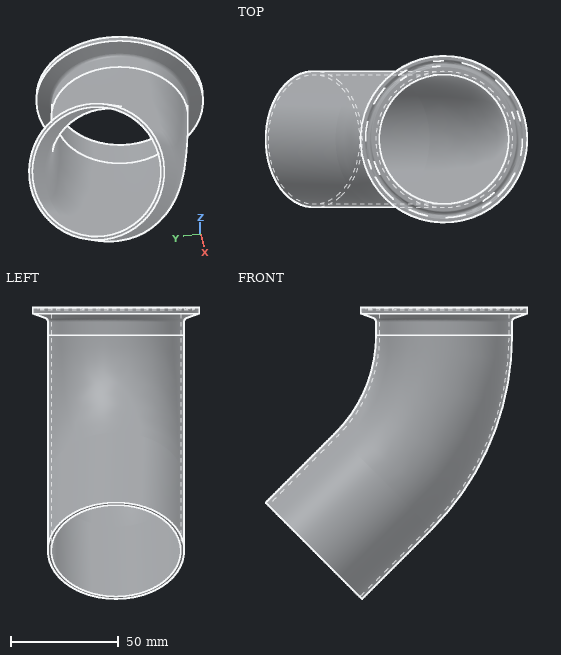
import cadquery as cq
import math

tube_radius = 31.7
bore_radius = 30.1

flange_radius = 38.7
rim_thickness = 2.8
ferrule_length = 13.0
cone_angle = 20.0
neck_fillet = 1.5
lip_fillet = 0.8

groove_radius = 35.2
groove_width = 2.7
groove_depth = 1.1
groove_edge_fillet = 0.7

overall_height = 135.5
bend_radius = 95.5
bend_angle = 45.0
bend_radians = math.radians(bend_angle)
bend_drop = bend_radius * math.sin(bend_radians)
end_corner_drop = tube_radius * math.sin(bend_radians)
leg_drop = overall_height - ferrule_length - bend_drop - end_corner_drop
leg_length = leg_drop / math.cos(bend_radians)


def make_ferrule():
    """Revolve the ferrule about Z, then cut and soften its gasket groove."""
    cone_drop = (flange_radius - tube_radius) * math.tan(math.radians(cone_angle))
    cone_end_z = -rim_thickness - cone_drop
    body = (
        cq.Workplane("XZ")
        .moveTo(bore_radius, 0)
        .lineTo(flange_radius, 0)
        .lineTo(flange_radius, -rim_thickness)
        .lineTo(tube_radius, cone_end_z)
        .lineTo(tube_radius, -ferrule_length)
        .lineTo(bore_radius, -ferrule_length)
        .close()
        .revolve(360, (0, 0), (0, 1))
    )
    neck_corner = cq.selectors.BoxSelector(
        (-flange_radius, -flange_radius, cone_end_z - neck_fillet),
        (flange_radius, flange_radius, cone_end_z + neck_fillet),
        boundingbox=True,
    )
    body = body.edges(neck_corner).edges("%CIRCLE").fillet(neck_fillet)
    body = body.faces(">Z").edges(cq.selectors.RadiusNthSelector(0)).fillet(lip_fillet)
    half_width = groove_width / 2
    groove = (
        cq.Workplane("XZ")
        .moveTo(groove_radius - half_width, 0)
        .threePointArc((groove_radius, -groove_depth), (groove_radius + half_width, 0))
        .close()
        .revolve(360, (0, 0), (0, 1))
    )
    body = body.cut(groove)
    groove_edges = cq.selectors.BoxSelector(
        (-flange_radius, -flange_radius, -groove_edge_fillet),
        (flange_radius, flange_radius, groove_edge_fillet),
        boundingbox=True,
    )
    inner_and_outer = [
        edge
        for edge in body.edges(groove_edges).edges("%CIRCLE").vals()
        if abs(edge.radius() - groove_radius) < groove_width
    ]
    return body.newObject(inner_and_outer).fillet(groove_edge_fillet)


def make_elbow():
    """Sweep the tube section around the bend and along the straight leg."""
    bend_end_x = -bend_radius * (1 - math.cos(bend_radians))
    bend_end_z = -ferrule_length - bend_drop
    bend_mid = (
        -bend_radius * (1 - math.cos(bend_radians / 2)),
        -ferrule_length - bend_radius * math.sin(bend_radians / 2),
    )
    leg_end = (
        bend_end_x - leg_length * math.sin(bend_radians),
        bend_end_z - leg_drop,
    )
    path = (
        cq.Workplane("XZ")
        .moveTo(0, -ferrule_length)
        .threePointArc(bend_mid, (bend_end_x, bend_end_z))
        .lineTo(*leg_end)
    )
    return (
        cq.Workplane("XY", origin=(0, 0, -ferrule_length))
        .circle(tube_radius)
        .circle(bore_radius)
        .sweep(path)
    )


ferrule = make_ferrule()
elbow = make_elbow()

result = cq.Compound.makeCompound([ferrule.val(), elbow.val()])